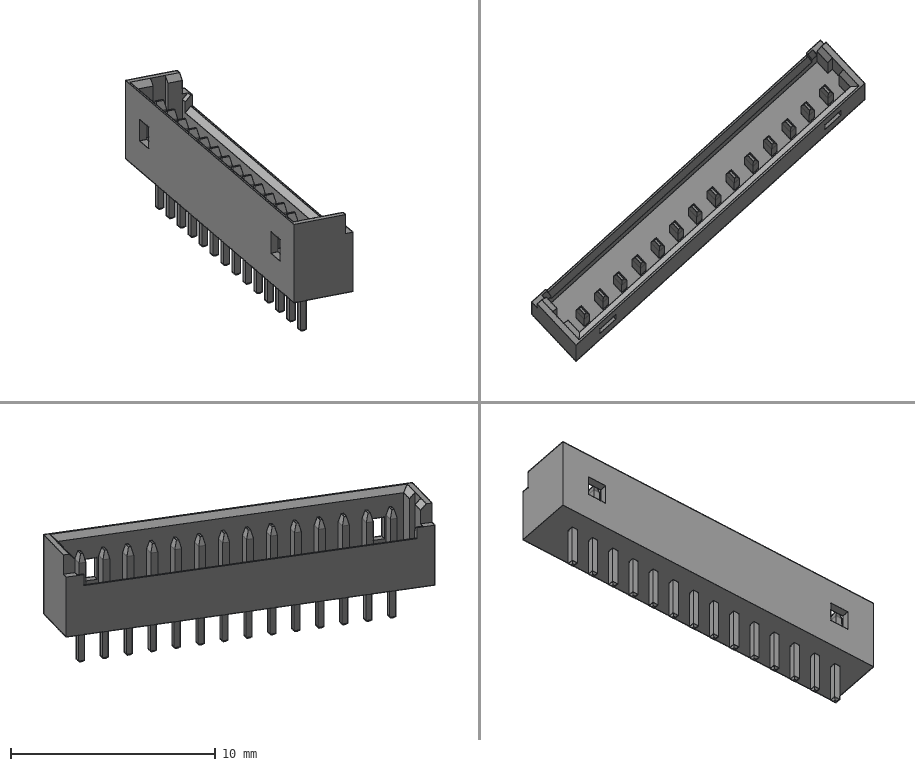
import cadquery as cq

HOUSING_LENGTH = 19.25
HOUSING_DEPTH = 3.2
HOUSING_HEIGHT = 4.2
WALL_THICKNESS = 0.4
END_WALL_THICKNESS = 0.6
FLOOR_THICKNESS = 1.2
RIM_CHAMFER = 0.3

BACK_WALL_HEIGHT = 3.18
BACK_GAP_HEIGHT = 2.6
BACK_GAP_MARGIN = 0.93

SLOT_WIDTH = 0.8
SLOT_Y = 1.62
SLOT_DEPTH = 0.3

WINDOW_WIDTH = 1.05
WINDOW_HEIGHT = 1.15
WINDOW_BOTTOM = 1.6
WINDOW_MARGIN = 1.6

PIN_COUNT = 14
PIN_PITCH = 1.25
PIN_Y = 1.14
PIN_WIDTH = 0.32
TAIL_LENGTH = 2.3
TAIL_TIP_HEIGHT = 0.1
TAIL_TIP_WIDTH = 0.12
CONTACT_WIDTH = 0.36
CONTACT_DEPTH = 0.6
CONTACT_TOP = 3.5
CONTACT_TIP_HEIGHT = 0.45
CONTACT_TIP_WIDTH = 0.12
CONTACT_TIP_DEPTH = 0.4

CAVITY_LENGTH = HOUSING_LENGTH - 2 * END_WALL_THICKNESS
CAVITY_DEPTH = HOUSING_DEPTH - 2 * WALL_THICKNESS
MIDDLE_Y = HOUSING_DEPTH / 2


def block(length, depth, bottom, top, x=0.0, y=MIDDLE_Y):
    """Upright box centred on (x, y), between two heights."""
    return cq.Workplane("XY").box(length, depth, top - bottom).translate((x, y, (bottom + top) / 2))


def frustum(y, bottom, bottom_size, top, top_size):
    """Rectangular taper centred on (0, y), between two heights."""
    return (
        cq.Workplane("XY", origin=(0, y, bottom))
        .rect(*bottom_size)
        .workplane(offset=top - bottom)
        .rect(*top_size)
        .loft(ruled=True)
    )


def mouth_taper():
    """Cutter that bevels the mouth of the cavity; above the lowered back wall it meets no material."""
    spread = 2 * RIM_CHAMFER
    return frustum(
        MIDDLE_Y,
        HOUSING_HEIGHT - RIM_CHAMFER,
        (CAVITY_LENGTH, CAVITY_DEPTH),
        HOUSING_HEIGHT,
        (CAVITY_LENGTH + spread, CAVITY_DEPTH + spread),
    )


def back_wall_cut(length, height):
    """Cutter that lowers a centred stretch of the back wall to a height and bevels its inner top edge."""
    inner_y = HOUSING_DEPTH - WALL_THICKNESS
    return (
        cq.Workplane("YZ", origin=(-length / 2, 0, 0))
        .moveTo(inner_y, height - RIM_CHAMFER)
        .lineTo(inner_y + RIM_CHAMFER, height)
        .lineTo(HOUSING_DEPTH, height)
        .lineTo(HOUSING_DEPTH, HOUSING_HEIGHT)
        .lineTo(inner_y, HOUSING_HEIGHT)
        .close()
        .extrude(length)
    )


def make_housing():
    housing = block(HOUSING_LENGTH, HOUSING_DEPTH, 0, HOUSING_HEIGHT)
    housing = housing.cut(block(CAVITY_LENGTH, CAVITY_DEPTH, FLOOR_THICKNESS, HOUSING_HEIGHT))

    housing = housing.cut(mouth_taper())

    back_y = HOUSING_DEPTH - WALL_THICKNESS / 2
    housing = housing.cut(block(HOUSING_LENGTH, WALL_THICKNESS, BACK_WALL_HEIGHT, HOUSING_HEIGHT, y=back_y))
    housing = housing.cut(back_wall_cut(CAVITY_LENGTH, BACK_WALL_HEIGHT))
    housing = housing.cut(back_wall_cut(HOUSING_LENGTH - 2 * BACK_GAP_MARGIN, BACK_GAP_HEIGHT))

    slots_length = CAVITY_LENGTH + 2 * SLOT_DEPTH
    housing = housing.cut(block(slots_length, SLOT_WIDTH, FLOOR_THICKNESS, HOUSING_HEIGHT, y=SLOT_Y))

    window_x = (HOUSING_LENGTH - WINDOW_WIDTH) / 2 - WINDOW_MARGIN
    for x in (-window_x, window_x):
        housing = housing.cut(
            block(
                WINDOW_WIDTH,
                WALL_THICKNESS,
                WINDOW_BOTTOM,
                WINDOW_BOTTOM + WINDOW_HEIGHT,
                x=x,
                y=WALL_THICKNESS / 2,
            )
        )
    return housing


def make_pin():
    """One pin at X = 0: a square tail below the housing and a deeper contact blade in the cavity."""
    tail_section = (PIN_WIDTH, PIN_WIDTH)
    tail_tip = (TAIL_TIP_WIDTH, TAIL_TIP_WIDTH)
    blade_section = (CONTACT_WIDTH, CONTACT_DEPTH)
    blade_tip = (CONTACT_TIP_WIDTH, CONTACT_TIP_DEPTH)
    tail_shoulder = TAIL_TIP_HEIGHT - TAIL_LENGTH
    blade_shoulder = CONTACT_TOP - CONTACT_TIP_HEIGHT

    pin = block(*tail_section, tail_shoulder, FLOOR_THICKNESS, y=PIN_Y)
    pin = pin.union(frustum(PIN_Y, -TAIL_LENGTH, tail_tip, tail_shoulder, tail_section))
    pin = pin.union(block(*blade_section, FLOOR_THICKNESS / 2, blade_shoulder, y=PIN_Y))
    return pin.union(frustum(PIN_Y, blade_shoulder, blade_section, CONTACT_TOP, blade_tip))


result = make_housing()
pin = make_pin()
for index in range(PIN_COUNT):
    pin_x = (index - (PIN_COUNT - 1) / 2) * PIN_PITCH
    result = result.union(pin.translate((pin_x, 0, 0)))